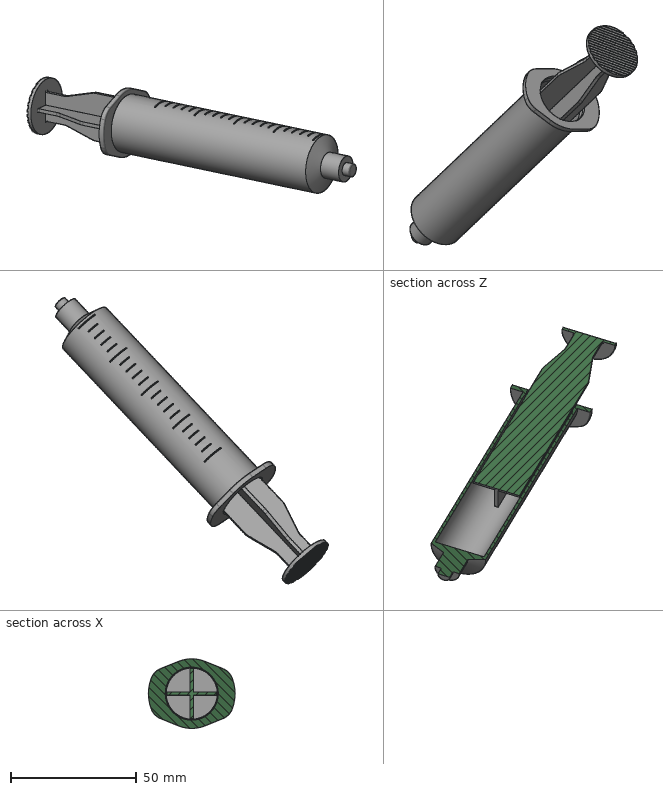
import cadquery as cq
import math

total_length = 147.7

plate_radius = 11.5
plate_thickness = 1.8
groove_width = 1.23
groove_depth = 0.3
groove_count = 9
fin_thickness = 1.5
handle_half_width = 6.0
stem_half_width = 10.0
taper_start = 11.4
taper_end = 24.8
taper_blend_radius = 5.9
fin_root_radius = 0.6
plunger_end = 94.5

flange_start = 38.1
flange_thickness = 2.2
flange_width = 34.7
flange_height = 27.9
flange_side_radius = flange_width / 2
flange_top_radius = flange_height / 2
flange_slope = 22.0
flange_corner_radius = 7.0
flange_rim_radius = 0.22
barrel_diameter = 23.8
barrel_radius = barrel_diameter / 2
barrel_end = 133.0
bore_radius = 10.5
bore_end = 131.5
retaining_ridge_start = 39.7
retaining_ridge_width = 2.4
retaining_ridge_radius = 10.2
shoulder_end = 135.8
nozzle_radius = 5.3
nozzle_end = 144.3
tip_radius = 2.7
tip_edge_radius = 0.3

zero_mark_x = 131.6
scale_length = 75.3
mark_intervals = 20
mark_spacing = scale_length / mark_intervals
marks_per_long = 5
mark_width = 0.5
mark_depth = 0.1
long_mark_length = 8.9
short_mark_length = 5.0


def make_fin():
    """One flat fin in the XZ plane, symmetric about the axis, with rounded bends and root."""
    upper = [
        (plate_thickness, handle_half_width),
        (taper_start, handle_half_width),
        (taper_end, stem_half_width),
        (plunger_end, stem_half_width),
    ]
    lower = [(x, -z) for x, z in reversed(upper)]
    fin = (
        cq.Workplane("XZ")
        .polyline(upper + lower)
        .close()
        .extrude(fin_thickness / 2, both=True)
    )
    bends = cq.selectors.BoxSelector(
        ((plate_thickness + taper_start) / 2, -fin_thickness, -barrel_radius),
        ((taper_end + plunger_end) / 2, fin_thickness, barrel_radius),
    )
    fin = fin.edges("|Y").edges(bends).fillet(taper_blend_radius)
    return fin.union(make_fin_root(1)).union(make_fin_root(-1))


def make_fin_root(side):
    """Concave fillet between the thumb plate and the fin edge on the +Z (1) or -Z (-1) side."""
    edge_z = side * handle_half_width
    outer_z = side * (handle_half_width + fin_root_radius)
    arc_inset = fin_root_radius * (1 - math.sqrt(0.5))
    return (
        cq.Workplane("XZ")
        .moveTo(plate_thickness, edge_z)
        .lineTo(plate_thickness + fin_root_radius, edge_z)
        .threePointArc(
            (plate_thickness + arc_inset, edge_z + side * arc_inset),
            (plate_thickness, outer_z),
        )
        .close()
        .extrude(fin_thickness / 2, both=True)
    )


def make_thumb_plate():
    """Disc with parallel grip grooves along Y across its outer face."""
    plate = cq.Workplane("YZ").circle(plate_radius).extrude(plate_thickness)
    pitch = 2 * groove_width
    groove_length = 3 * plate_radius
    for i in range(groove_count):
        z = (i - (groove_count - 1) / 2) * pitch
        groove = cq.Workplane("XY").box(2 * groove_depth, groove_length, groove_width)
        plate = plate.cut(groove.translate((0, 0, z)))
    return plate


def make_plunger():
    """Thumb plate on a stem of two crossed fins."""
    fin = make_fin()
    crossed_fin = fin.rotate((0, 0, 0), (1, 0, 0), 90)
    return make_thumb_plate().union(fin).union(crossed_fin)


def make_flange():
    """Finger flange: arcs about the axis joined by straight slopes and rounded corners."""
    slope = math.radians(flange_slope)
    reach = slope + math.acos(flange_top_radius / flange_side_radius)
    tangent_y = flange_top_radius * math.sin(slope)
    tangent_z = flange_top_radius * math.cos(slope)
    corner_y = flange_side_radius * math.sin(reach)
    corner_z = flange_side_radius * math.cos(reach)
    flange = (
        cq.Workplane("YZ", origin=(flange_start, 0, 0))
        .moveTo(-tangent_y, tangent_z)
        .threePointArc((0, flange_top_radius), (tangent_y, tangent_z))
        .lineTo(corner_y, corner_z)
        .threePointArc((flange_side_radius, 0), (corner_y, -corner_z))
        .lineTo(tangent_y, -tangent_z)
        .threePointArc((0, -flange_top_radius), (-tangent_y, -tangent_z))
        .lineTo(-corner_y, -corner_z)
        .threePointArc((-flange_side_radius, 0), (-corner_y, corner_z))
        .close()
        .extrude(flange_thickness)
    )
    flange = flange.edges("|X").edges(">Y or <Y").fillet(flange_corner_radius)
    return flange.faces(">X").edges().fillet(flange_rim_radius)


def make_barrel_shell():
    """Solid of revolution: barrel, conical shoulder, nozzle and tip."""
    profile = [
        (flange_start, 0),
        (flange_start, barrel_radius),
        (barrel_end, barrel_radius),
        (shoulder_end, nozzle_radius),
        (nozzle_end, nozzle_radius),
        (nozzle_end, tip_radius),
        (total_length, tip_radius),
        (total_length, 0),
    ]
    shell = cq.Workplane("XY").polyline(profile).close().revolve(360, (0, 0, 0), (1, 0, 0))
    return shell.faces(">X").edges().fillet(tip_edge_radius)


def make_retaining_ridge():
    """Rounded ridge around the mouth of the bore that keeps the plunger in."""
    start = retaining_ridge_start
    end = start + retaining_ridge_width
    wall = (bore_radius + barrel_radius) / 2
    return (
        cq.Workplane("XY")
        .moveTo(start, wall)
        .lineTo(start, bore_radius)
        .threePointArc(((start + end) / 2, retaining_ridge_radius), (end, bore_radius))
        .lineTo(end, wall)
        .close()
        .revolve(360, (0, 0, 0), (1, 0, 0))
    )


def make_mark(index):
    """Curved cutter for one graduation mark."""
    length = short_mark_length
    if index % marks_per_long == 0:
        length = long_mark_length
    x = zero_mark_x - index * mark_spacing
    ring = (
        cq.Workplane("YZ", origin=(x - mark_width / 2, 0, 0))
        .circle(barrel_radius + mark_depth)
        .circle(barrel_radius - mark_depth)
        .extrude(mark_width)
    )
    window = cq.Workplane("XY").box(2 * mark_width, length, 2 * barrel_radius)
    return ring.intersect(window.translate((x, 0, barrel_radius)))


def make_barrel():
    """Barrel with its flange, blind bore, retaining ridge and graduation marks."""
    barrel = make_barrel_shell().union(make_flange())
    bore = cq.Workplane("YZ", origin=(flange_start, 0, 0)).circle(bore_radius)
    barrel = barrel.cut(bore.extrude(bore_end - flange_start))
    barrel = barrel.union(make_retaining_ridge())
    for index in range(mark_intervals + 1):
        barrel = barrel.cut(make_mark(index))
    return barrel


plunger = make_plunger()
barrel = make_barrel()
result = cq.Compound.makeCompound([plunger.val(), barrel.val()])